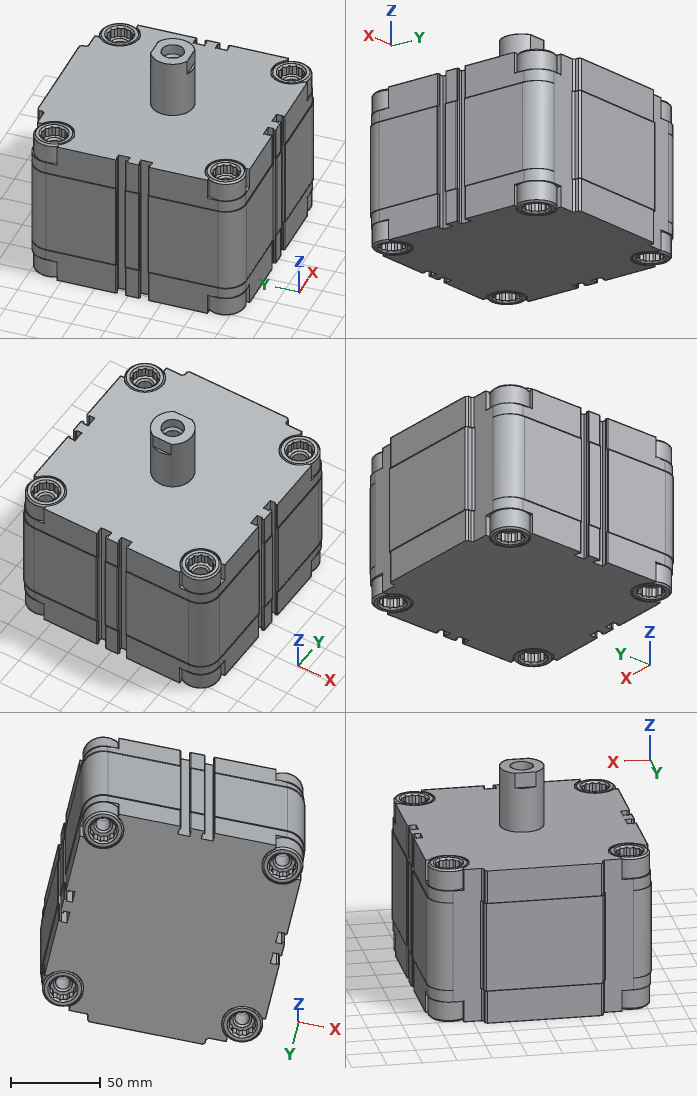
import cadquery as cq
import math

barrel_width = 128.0
barrel_corner_radius = 12.5
cap_setback = 0.5
housing_height = 91.4
cap_height = 19.4

pad_reach = 5.0
pad_width = 68.6
pad_bevel = 1.2

slot_depth = 5.6
slot_lip = 2.1
slot_mouth_inner = 4.4
slot_mouth_outer = 9.5
slot_undercut_inner = 3.3
slot_undercut_outer = 10.1
slot_mouth_chamfer = 0.5

collar_diameter = 23.0
collar_length = 12.4
collar_chamfer = 1.0
notch_reach = 6.4
socket_tip_diameter = 15.4
socket_depth = 6.6
socket_mouth_diameter = 16.9
socket_mouth_bevel = 1.2
screw_countersink_diameter = 10.5
screw_bore_diameter = 8.2

rod_diameter = 25.0
rod_length = 35.1
flat_width = 22.0
flat_length = 8.8
rod_counterbore_diameter = 13.0
rod_counterbore_depth = 6.3
rod_bore_diameter = 10.1
rod_bore_depth = 20.0
drill_tip_angle = 118.0

half_width = barrel_width / 2
barrel_height = housing_height - 2 * cap_height
cap_bottom = housing_height - cap_height
rod_top = housing_height + rod_length
corner_offset = half_width - barrel_corner_radius
corner_signs = [(x, y) for x in (-1, 1) for y in (-1, 1)]


def cylinder(diameter, bottom, height):
    """Upright cylinder on the Z axis."""
    return cq.Workplane("XY").workplane(offset=bottom).circle(diameter / 2).extrude(height)


def padded_block(setback, bottom, height):
    """Rounded block with the pad; its faces lie inside the barrel faces by the setback."""
    block = (
        cq.Workplane("XY", origin=(0, setback / 2, bottom))
        .rect(barrel_width - 2 * setback, barrel_width - setback)
        .extrude(height)
        .edges("|Z")
        .fillet(barrel_corner_radius - setback)
    )
    half_pad = pad_width / 2 - setback
    pad_face = half_width + pad_reach - setback
    pad = (
        cq.Workplane("XY", origin=(0, 0, bottom))
        .moveTo(half_pad, 0)
        .lineTo(half_pad + pad_bevel, half_width)
        .lineTo(half_pad, half_width + pad_bevel)
        .lineTo(half_pad, pad_face - pad_bevel)
        .lineTo(half_pad - pad_bevel, pad_face)
        .lineTo(0, pad_face)
        .lineTo(0, 0)
        .close()
        .extrude(height)
    )
    return block.union(pad).union(pad.mirror("YZ"))


def slot_pair(setback, bottom, height):
    """Cutter for the two T-slots of the -Y side."""
    face = -half_width + setback
    chamfer_end = face + slot_mouth_chamfer
    outside = face - slot_mouth_chamfer
    lip = -half_width + slot_lip
    floor = -half_width + slot_depth
    slot = (
        cq.Workplane("XY", origin=(0, 0, bottom))
        .moveTo(slot_mouth_inner - 2 * slot_mouth_chamfer, outside)
        .lineTo(slot_mouth_inner, chamfer_end)
        .lineTo(slot_mouth_inner, lip)
        .lineTo(slot_undercut_inner, lip)
        .lineTo(slot_undercut_inner, floor)
        .lineTo(slot_undercut_outer, floor)
        .lineTo(slot_undercut_outer, lip)
        .lineTo(slot_mouth_outer, lip)
        .lineTo(slot_mouth_outer, chamfer_end)
        .lineTo(slot_mouth_outer + 2 * slot_mouth_chamfer, outside)
        .close()
        .extrude(height)
    )
    return slot.union(slot.mirror("YZ"))


def slotted_block(setback, bottom, height):
    """Padded block with slots on its -X, -Y and +X sides."""
    block = padded_block(setback, bottom, height)
    slots = slot_pair(setback, bottom, height)
    for angle in (-90, 0, 90):
        block = block.cut(slots.rotate((0, 0, 0), (0, 0, 1), angle))
    return block


def corner_notch(x_sign, y_sign):
    """Cutter for the room around a collar, open towards the corner; collar axis on Z."""
    reach_out = 2 * barrel_corner_radius
    size = reach_out + notch_reach
    middle = (reach_out - notch_reach) / 2
    square = (
        cq.Workplane("XY", origin=(x_sign * middle, y_sign * middle, housing_height))
        .rect(size, size)
        .extrude(-collar_length)
    )
    return square.union(cylinder(collar_diameter, housing_height, -collar_length))


def screw_socket():
    """Cutter for a twelve-point socket with a bevelled mouth and a countersunk screw bore."""
    top = cq.Workplane("XY").workplane(offset=housing_height)
    hexagon = top.polygon(6, socket_tip_diameter).extrude(-socket_depth)
    twelve_point = hexagon.union(hexagon.rotate((0, 0, 0), (0, 0, 1), 30))
    mouth_radius = socket_mouth_diameter / 2
    mouth = (
        top.circle(mouth_radius)
        .workplane(offset=-socket_mouth_bevel)
        .circle(mouth_radius - socket_mouth_bevel)
        .loft()
    )
    sink_radius = screw_countersink_diameter / 2
    bore_radius = screw_bore_diameter / 2
    countersink = (
        top.workplane(offset=-socket_depth)
        .circle(sink_radius)
        .workplane(offset=bore_radius - sink_radius)
        .circle(bore_radius)
        .loft()
    )
    bore = cylinder(screw_bore_diameter, 0, housing_height)
    return twelve_point.union(mouth).union(countersink).union(bore)


def make_cap():
    """Upper end cap with its four corner collars."""
    cap = slotted_block(cap_setback, cap_bottom, cap_height)
    collar_bottom = housing_height - collar_length
    collar = cylinder(collar_diameter, collar_bottom, collar_length).faces(">Z").chamfer(collar_chamfer)
    socket = screw_socket()
    for x_sign, y_sign in corner_signs:
        place = (x_sign * corner_offset, y_sign * corner_offset, 0)
        cap = cap.cut(corner_notch(x_sign, y_sign).translate(place))
        cap = cap.union(collar.translate(place))
        cap = cap.cut(socket.translate(place))
    return cap


def make_housing():
    """Barrel and two mirrored end caps, all one solid."""
    barrel = slotted_block(0, cap_height, barrel_height)
    bore = cylinder(screw_bore_diameter, 0, housing_height)
    for x_sign, y_sign in corner_signs:
        barrel = barrel.cut(bore.translate((x_sign * corner_offset, y_sign * corner_offset, 0)))
    upper_cap = make_cap()
    lower_cap = upper_cap.mirror("XY").translate((0, 0, housing_height))
    return barrel.union(upper_cap).union(lower_cap).clean()


def make_rod():
    """Rod standing on the housing, with two wrench flats and a counterbored blind bore."""
    shaft = cylinder(rod_diameter, housing_height, rod_length - flat_length)
    flat_bottom = rod_top - flat_length
    slab = (
        cq.Workplane("XY")
        .workplane(offset=flat_bottom)
        .rect(rod_diameter, flat_width)
        .extrude(flat_length)
    )
    head = cylinder(rod_diameter, flat_bottom, flat_length).intersect(slab)

    counterbore_radius = rod_counterbore_diameter / 2
    bore_radius = rod_bore_diameter / 2
    cone_top = rod_top - rod_counterbore_depth
    cone_bottom = cone_top - (counterbore_radius - bore_radius)
    bore_end = rod_top - rod_bore_depth
    tip_length = bore_radius / math.tan(math.radians(drill_tip_angle / 2))
    bore = (
        cq.Workplane("XZ")
        .moveTo(0, rod_top)
        .lineTo(counterbore_radius, rod_top)
        .lineTo(counterbore_radius, cone_top)
        .lineTo(bore_radius, cone_bottom)
        .lineTo(bore_radius, bore_end)
        .lineTo(0, bore_end - tip_length)
        .close()
        .revolve(360, (0, 0, 0), (0, 1, 0))
    )
    return shaft.union(head).cut(bore)


housing = make_housing()
rod = make_rod()

result = cq.Compound.makeCompound([housing.solids().val(), rod.solids().val()])